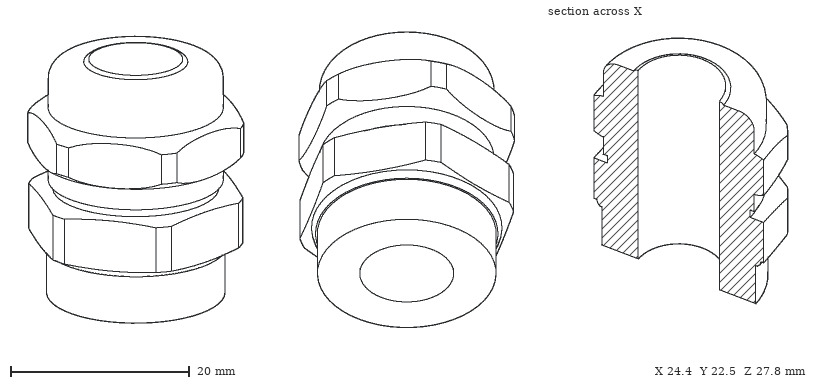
import cadquery as cq
import math

total_height = 27.8
bore_diameter = 10.5
thread_diameter = 20.0
cap_diameter = 19.6
neck_diameter = 18.6

bar_diameter = 24.4
across_flats = 22.0
hex_height = 6.0

thread_height = 5.62
seal_height = 0.83
neck_height = 1.0
collar_height = 2.55

lower_bevel_diameter = 21.93
lower_bevel_angle = 15.0

upper_bevel_diameter = 20.1
upper_bevel_angle = 30.0
upper_bevel_bulge = 0.17
upper_hex_turn = 3.0

seal_top_diameter = 21.3
seal_bottom_diameter = 20.4

shoulder_radius = 1.97
lip_diameter = 11.65
lip_height = 0.3

lower_hex_bottom = thread_height + seal_height
neck_bottom = lower_hex_bottom + hex_height
collar_bottom = neck_bottom + neck_height
upper_hex_bottom = collar_bottom + collar_height
cap_top = total_height - lip_height


def cylinder(diameter, bottom, top):
    """Upright cylinder on the Z axis between two heights."""
    return cq.Workplane("XY").workplane(offset=bottom).circle(diameter / 2).extrude(top - bottom)


def bevelled_hex(bottom, bevel_diameter, bevel_angle, bulge, turn):
    """Hexagon with round corners, flats facing Y before turning, and bevels top and bottom.

    A bulge above zero bows the bevels outward by that distance at mid-width.
    """
    bar_radius = bar_diameter / 2
    bevel_radius = bevel_diameter / 2
    angle = math.radians(bevel_angle)
    bevel_drop = (bar_radius - bevel_radius) * math.tan(angle)
    top = bottom + hex_height
    middle_radius = (bar_radius + bevel_radius) / 2 + bulge * math.sin(angle)
    middle_drop = bevel_drop / 2 - bulge * math.cos(angle)

    profile = cq.Workplane("XZ").moveTo(0, bottom).lineTo(bevel_radius, bottom)
    if bulge > 0:
        profile = (
            profile
            .threePointArc((middle_radius, bottom + middle_drop), (bar_radius, bottom + bevel_drop))
            .lineTo(bar_radius, top - bevel_drop)
            .threePointArc((middle_radius, top - middle_drop), (bevel_radius, top))
        )
    else:
        profile = (
            profile
            .lineTo(bar_radius, bottom + bevel_drop)
            .lineTo(bar_radius, top - bevel_drop)
            .lineTo(bevel_radius, top)
        )
    turned_blank = profile.lineTo(0, top).close().revolve(360, (0, 0), (0, 1))

    across_corners = across_flats / math.cos(math.pi / 6)
    prism = cq.Workplane("XY").workplane(offset=bottom).polygon(6, across_corners).extrude(hex_height)
    return turned_blank.intersect(prism).rotate((0, 0, 0), (0, 0, 1), turn)


def sealing_ring():
    """Ring under the lower hexagon whose side starts upright and curves inward below."""
    top_radius = seal_top_diameter / 2
    bottom_radius = seal_bottom_diameter / 2
    inset = top_radius - bottom_radius
    side_radius = (seal_height**2 + inset**2) / (2 * inset)
    return (
        cq.Workplane("XZ")
        .moveTo(0, lower_hex_bottom)
        .lineTo(top_radius, lower_hex_bottom)
        .radiusArc((bottom_radius, thread_height), side_radius)
        .lineTo(0, thread_height)
        .close()
        .revolve(360, (0, 0), (0, 1))
    )


def cap():
    """Round cap with a large rounded shoulder."""
    return cylinder(cap_diameter, upper_hex_bottom, cap_top).faces(">Z").edges().fillet(shoulder_radius)


def lip():
    """Low crown on the cap, levelling out where the bore will leave a sharp edge."""
    inner_radius = bore_diameter / 2
    outer_radius = lip_diameter / 2
    width = outer_radius - inner_radius
    crown_radius = (width**2 + lip_height**2) / (2 * lip_height)
    return (
        cq.Workplane("XZ")
        .moveTo(0, cap_top)
        .lineTo(0, total_height)
        .lineTo(inner_radius, total_height)
        .radiusArc((outer_radius, cap_top), crown_radius)
        .close()
        .revolve(360, (0, 0), (0, 1))
    )


lower_hex = bevelled_hex(lower_hex_bottom, lower_bevel_diameter, lower_bevel_angle, 0, 0)
upper_hex = bevelled_hex(
    upper_hex_bottom, upper_bevel_diameter, upper_bevel_angle, upper_bevel_bulge, upper_hex_turn
)

body = (
    cylinder(thread_diameter, 0, thread_height)
    .union(sealing_ring())
    .union(lower_hex)
    .union(cylinder(neck_diameter, neck_bottom, collar_bottom))
    .union(cylinder(cap_diameter, collar_bottom, upper_hex_bottom))
    .union(upper_hex)
    .union(cap())
    .union(lip())
)

result = body.cut(cylinder(bore_diameter, 0, total_height))